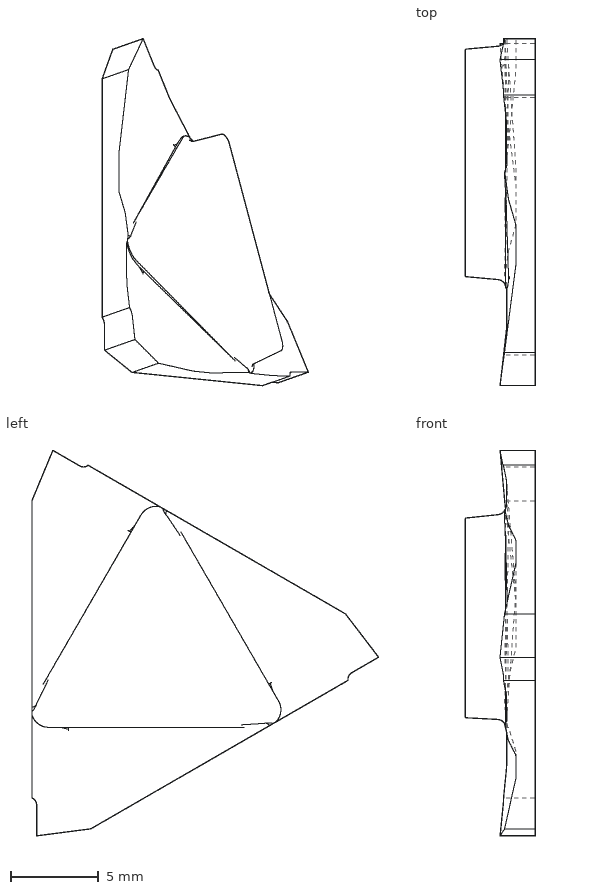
import cadquery as cq
import math


SIDES = 3
SIDE_DISTANCE = 7.08
TIP_SIDE_DISTANCE = 6.81
RECESS_CORNER = 8.55
RECESS_ARC_SPAN = 0.40
TIP_POSITION = 10.722
SIDE_END = 8.38
TIP_RELIEF_ANGLE = 2.3

TOTAL_HEIGHT = 4.0
TIP_HEIGHT = 2.01
FLOOR_HEIGHT = 1.11
STOCK_HEIGHT = 3.0
REACH = 30.0

LAND_FLOOR_X = 0.225
LAND_SLOPE_ANGLE = 4.1
LAND_BEND_Y = -6.7
LAND_BEND_ANGLE = 5.7
LAND_BEND_RADIUS = 6.6
LAND_INNER_Y = -4.0

WALL_DISTANCE = 5.84
WALL_SKEW_ANGLE = 4.3
WALL_ANGLE = 24.0
WALL_TOP_HEIGHT = 1.53
SHELF_ANGLE = 12.0
WALL_FOOT_RADIUS = 0.38
LAND_FOOT_START_X = -5.0
LAND_FOOT_END_X = 1.0

BOSS_DISTANCE = 3.99
BOSS_CORNER_RADIUS = 0.58
BOSS_DRAFT_ANGLE = 3.0
BOSS_EDGE_RADIUS = 0.08
BOSS_FOOT_HEIGHT = 1.69
BOSS_FOOT_RADIUS = 0.46
BOSS_FOOT_SPREAD = 0.42

SELECT_MARGIN = 0.01


def turned(x, y, index):
    """Point (x, y) carried round to the corner with the given index."""
    angle = 2 * math.pi * index / SIDES
    return (
        x * math.cos(angle) - y * math.sin(angle),
        x * math.sin(angle) + y * math.cos(angle),
    )


def around(body, index):
    """Body carried round to the corner with the given index."""
    return body.rotate((0, 0, 0), (0, 0, 1), 360 * index / SIDES)


def edges_at_height(reach, height):
    """Selector for edges lying at one height near the centre."""
    return cq.selectors.BoxSelector(
        (-reach, -reach, height - SELECT_MARGIN),
        (reach, reach, height + SELECT_MARGIN),
    )


def plate_outline():
    recess_depth = SIDE_DISTANCE - TIP_SIDE_DISTANCE
    arc_angle = 2 * math.atan(recess_depth / RECESS_ARC_SPAN)
    arc_radius = RECESS_ARC_SPAN / math.sin(arc_angle)
    arc_end_y = -RECESS_CORNER - RECESS_ARC_SPAN
    arc_middle_x = -TIP_SIDE_DISTANCE - arc_radius * (1 - math.cos(arc_angle / 2))
    arc_middle_y = arc_end_y + arc_radius * math.sin(arc_angle / 2)
    outline = cq.Workplane("XY").moveTo(-SIDE_DISTANCE, SIDE_END)
    for index in range(SIDES):
        recess_start = turned(-SIDE_DISTANCE, -RECESS_CORNER, index)
        arc_middle = turned(arc_middle_x, arc_middle_y, index)
        arc_end = turned(-TIP_SIDE_DISTANCE, arc_end_y, index)
        tip = turned(-TIP_SIDE_DISTANCE, -TIP_POSITION, index)
        outline = outline.lineTo(*recess_start).threePointArc(arc_middle, arc_end).lineTo(*tip)
        if index < SIDES - 1:
            outline = outline.lineTo(*turned(-SIDE_DISTANCE, SIDE_END, index + 1))
    return outline.close().extrude(TOTAL_HEIGHT)


def land():
    """Inner and outer land faces joined by a gentle concave bend."""
    rise = math.radians(LAND_BEND_ANGLE)
    tangent = LAND_BEND_RADIUS * math.tan(rise / 2)
    outer_y = LAND_BEND_Y - REACH / 2
    outer_height = (LAND_BEND_Y - outer_y) * math.tan(rise)
    bend_sag = LAND_BEND_RADIUS * (1 - math.cos(rise / 2))
    bend_half = LAND_BEND_RADIUS * math.sin(rise / 2)
    body = (
        cq.Workplane("YZ")
        .moveTo(LAND_INNER_Y, -STOCK_HEIGHT)
        .lineTo(LAND_INNER_Y, 0)
        .lineTo(LAND_BEND_Y + tangent, 0)
        .threePointArc(
            (LAND_BEND_Y + tangent - bend_half, bend_sag),
            (LAND_BEND_Y - tangent * math.cos(rise), tangent * math.sin(rise)),
        )
        .lineTo(outer_y, outer_height)
        .lineTo(outer_y, -STOCK_HEIGHT)
        .close()
        .extrude(REACH / 2, both=True)
    )
    sloped = body.rotate((0, 0, 0), (0, 1, 0), LAND_SLOPE_ANGLE)
    return sloped.translate((LAND_FLOOR_X, 0, FLOOR_HEIGHT))


def wall_block():
    """Everything beneath one chip-breaker wall and the shelf above it."""
    wall_slope = math.tan(math.radians(WALL_ANGLE))
    top_y = -WALL_DISTANCE + (WALL_TOP_HEIGHT - FLOOR_HEIGHT) / wall_slope
    foot_y = -WALL_DISTANCE - FLOOR_HEIGHT / wall_slope
    inner_height = WALL_TOP_HEIGHT + (REACH - top_y) * math.tan(math.radians(SHELF_ANGLE))
    block = (
        cq.Workplane("YZ")
        .polyline([(foot_y, 0), (top_y, WALL_TOP_HEIGHT), (REACH, inner_height), (REACH, 0)])
        .close()
        .extrude(REACH, both=True)
    )
    return block.rotate((0, 0, 0), (0, 0, 1), -WALL_SKEW_ANGLE)


def plate_with_walls():
    """Pocket floor with the three walls rising from it on a rounded foot."""
    walls = wall_block()
    for index in range(1, SIDES):
        walls = walls.intersect(around(wall_block(), index))
    floor = cq.Workplane("XY").rect(REACH, REACH).extrude(FLOOR_HEIGHT)
    foot_edges = edges_at_height(REACH / 4, FLOOR_HEIGHT)
    return floor.union(walls).edges(foot_edges).fillet(WALL_FOOT_RADIUS)


def wall_foot_on_land():
    """Slice of one wall and its land with the line between them rounded."""
    slice_box = (
        cq.Workplane("XY")
        .rect(LAND_FOOT_END_X - LAND_FOOT_START_X, REACH)
        .extrude(TOTAL_HEIGHT)
        .translate(((LAND_FOOT_START_X + LAND_FOOT_END_X) / 2, 0, 0))
    )
    foot_middle = (-WALL_DISTANCE / 2, -WALL_DISTANCE, FLOOR_HEIGHT)
    foot_edge = cq.selectors.NearestToPointSelector(foot_middle)
    joined = wall_block().union(land()).intersect(slice_box)
    filled = joined.edges(foot_edge).fillet(WALL_FOOT_RADIUS)
    for index in range(1, SIDES):
        filled = filled.intersect(around(wall_block(), index))
    return filled


def rounded_triangle(distance, corner_radius):
    circumradius = 2 * distance
    return (
        cq.Sketch()
        .polygon([turned(0, circumradius, i) for i in range(SIDES)] + [(0, circumradius)])
        .vertices()
        .fillet(corner_radius)
    )


def boss():
    """Drafted triangular boss with a filleted foot and a softened top edge."""
    height = TOTAL_HEIGHT - BOSS_FOOT_HEIGHT
    foot_distance = BOSS_DISTANCE + height * math.tan(math.radians(BOSS_DRAFT_ANGLE))
    prism = (
        cq.Workplane("XY")
        .workplane(offset=TOTAL_HEIGHT)
        .placeSketch(
            rounded_triangle(BOSS_DISTANCE, BOSS_CORNER_RADIUS),
            rounded_triangle(foot_distance, BOSS_CORNER_RADIUS).moved(
                cq.Location(cq.Vector(0, 0, -height))
            ),
        )
        .loft()
    )
    apron = cq.Workplane("XY").circle(REACH / 2).extrude(BOSS_FOOT_HEIGHT)
    foot_edges = edges_at_height(2 * foot_distance, BOSS_FOOT_HEIGHT)
    flared = apron.union(prism).edges(foot_edges).fillet(BOSS_FOOT_RADIUS)
    limit = (
        cq.Workplane("XY")
        .placeSketch(
            rounded_triangle(
                foot_distance + BOSS_FOOT_SPREAD,
                BOSS_CORNER_RADIUS + BOSS_FOOT_SPREAD,
            )
        )
        .extrude(TOTAL_HEIGHT)
    )
    return flared.intersect(limit).faces(">Z").edges().fillet(BOSS_EDGE_RADIUS)


def tip_relief_cut():
    """Half-space outside one end face, leaning inward toward the seating face."""
    tip = turned(-TIP_SIDE_DISTANCE, -TIP_POSITION, 0)
    corner = turned(-SIDE_DISTANCE, SIDE_END, 1)
    direction = math.degrees(math.atan2(corner[1] - tip[1], corner[0] - tip[0]))
    cutter = cq.Workplane("XY").box(REACH, REACH / 2, REACH, centered=(True, False, True))
    leaning = cutter.mirror("XZ").rotate((0, 0, 0), (1, 0, 0), -TIP_RELIEF_ANGLE)
    return leaning.rotate((0, 0, 0), (0, 0, 1), direction).translate((*tip, TIP_HEIGHT))


plate = plate_with_walls()
for corner_index in range(SIDES):
    plate = plate.union(around(land(), corner_index))
    plate = plate.union(around(wall_foot_on_land(), corner_index))

insert = plate.union(boss()).intersect(plate_outline())
for corner_index in range(SIDES):
    insert = insert.cut(around(tip_relief_cut(), corner_index))

FACING = cq.Plane(origin=(0, 0, 0), xDir=(0, -1, 0), normal=(-1, 0, 0))
result = cq.Workplane(insert.val().moved(cq.Location(FACING)))